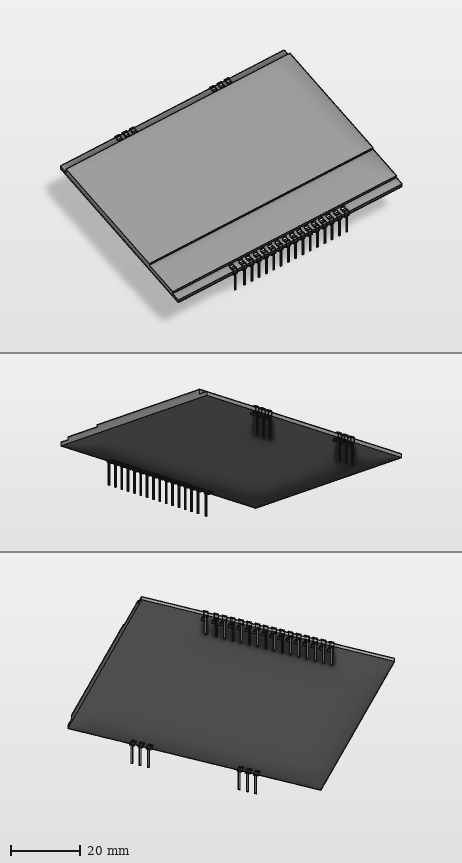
import cadquery as cq
import math

length = 78.0
overall_width = 61.3
overall_height = 9.8
clip_thickness = 0.2
lower_width = overall_width - 2 * clip_thickness
lower_thickness = 1.2
upper_left_x = -27.45
upper_width = 55.0
upper_thickness = 0.85
film_width = 42.9
film_thickness = 0.6

upper_base_z = lower_thickness
film_base_z = upper_base_z + upper_thickness
top_z = film_base_z + film_thickness
pin_bottom_z = top_z - overall_height
clip_edge_x = -overall_width / 2

clip_width = 1.3
pin_width = 0.51
inflection_distance = 0.85
arm_length = 2.35
arm_rise = 0.585
contact_sink = 0.04

pin_pitch = 2.54
pin_count = 16
first_pin_y = (pin_count - 1) / 2 * pin_pitch
left_row_shift = -0.15
left_pin_indexes = (0, 1, 2, 13, 14, 15)
right_row_shift = 0.55


def slab(left_x, width, base_z, thickness):
    """Full-length plate starting at the given -X side."""
    plate = cq.Workplane("XY").box(width, length, thickness, centered=(False, True, False))
    return plate.translate((left_x, 0, base_z))


def edge_block(width, base_z, height):
    """Sheet-thick block standing against the -X edge of the glass."""
    block = cq.Workplane("XY").box(clip_thickness, width, height, centered=(False, True, False))
    return block.translate((clip_edge_x, 0, base_z))


def upper_arm():
    """Wavy strip: a round bend over the glass edge runs into a hollow curve that dips onto the glass."""
    outer_radius = arm_rise
    inner_radius = outer_radius - clip_thickness
    bend_x = clip_edge_x + outer_radius
    bend_z = lower_thickness
    tip_x = clip_edge_x + arm_length
    start_angle = math.pi
    end_angle = math.acos((inflection_distance - outer_radius) / outer_radius)
    middle_angle = (start_angle + end_angle) / 2

    def on_bend(radius, angle):
        return (bend_x + radius * math.cos(angle), bend_z + radius * math.sin(angle))

    outer_end = on_bend(outer_radius, end_angle)
    inner_end = on_bend(inner_radius, end_angle)
    dip_x = (outer_end[0] + tip_x) / 2
    dip_z = lower_thickness - contact_sink
    outline = (
        cq.Workplane("XZ")
        .moveTo(*on_bend(outer_radius, start_angle))
        .threePointArc(on_bend(outer_radius, middle_angle), outer_end)
        .threePointArc((dip_x, dip_z + clip_thickness), (tip_x, outer_end[1]))
        .lineTo(tip_x, inner_end[1])
        .threePointArc((dip_x, dip_z), inner_end)
        .threePointArc(on_bend(inner_radius, middle_angle), on_bend(inner_radius, start_angle))
        .close()
    )
    return outline.extrude(clip_width / 2, both=True)


def terminal():
    """Clip and pin for the -X edge, centred on Y = 0."""
    arm = upper_arm()
    lower_arm = arm.mirror("XY", (0, 0, lower_thickness / 2))
    wall = edge_block(clip_width, 0, lower_thickness)
    pin = edge_block(pin_width, pin_bottom_z, -pin_bottom_z)
    return wall.union(arm).union(lower_arm).union(pin)


def pin_y(index):
    return first_pin_y - index * pin_pitch


result = slab(-lower_width / 2, lower_width, 0, lower_thickness)
result = result.union(slab(upper_left_x, upper_width, upper_base_z, upper_thickness))
result = result.union(slab(upper_left_x, film_width, film_base_z, film_thickness))

left_terminal = terminal()
for index in left_pin_indexes:
    result = result.union(left_terminal.translate((0, pin_y(index) + left_row_shift, 0)))

right_terminal = left_terminal.mirror("YZ")
last_index = pin_count - 1
for index in range(last_index):
    result = result.union(right_terminal.translate((0, pin_y(index) + right_row_shift, 0)))
result = result.union(right_terminal.translate((0, pin_y(last_index) + left_row_shift, 0)))